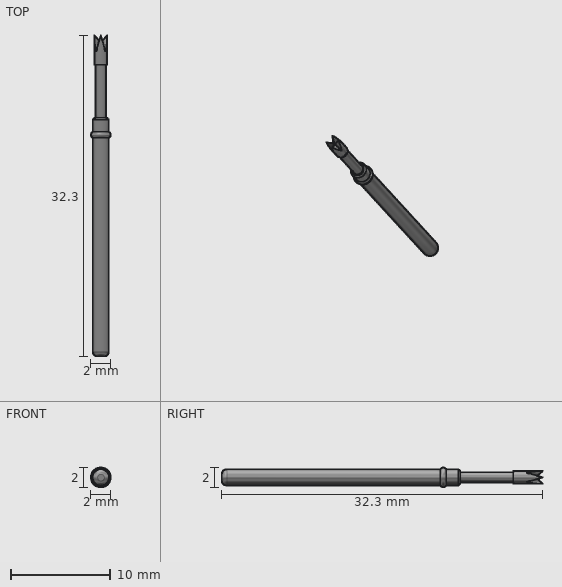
import cadquery as cq
import math

total_length = 32.3

barrel_diameter = 1.65
barrel_radius = barrel_diameter / 2
tail_fillet = 0.5
mouth_chamfer = 0.2
plunger_reach = 8.3
mouth_y = total_length - plunger_reach

ring_diameter = 2.0
ring_radius = ring_diameter / 2
ring_width = 0.58
ring_to_tips = 10.0
ring_y = total_length - ring_to_tips

plunger_diameter = 1.05
plunger_radius = plunger_diameter / 2
head_diameter = 1.3
head_radius = head_diameter / 2
head_length = 2.97
head_y = total_length - head_length

tip_count = 4
notch_depth_at_axis = 0.7
notch_depth_at_rim = 1.6


def turned_body():
    """Revolve the half outline of barrel, ring, plunger and head about the Y axis."""
    ring_start = ring_y - ring_width / 2
    ring_end = ring_y + ring_width / 2
    arc_middle = math.sqrt(0.5) * tail_fillet
    return (
        cq.Workplane("YZ")
        .moveTo(0, 0)
        .lineTo(0, barrel_radius - tail_fillet)
        .threePointArc(
            (tail_fillet - arc_middle, barrel_radius - tail_fillet + arc_middle),
            (tail_fillet, barrel_radius),
        )
        .lineTo(ring_start, barrel_radius)
        .threePointArc((ring_y, ring_radius), (ring_end, barrel_radius))
        .lineTo(mouth_y - mouth_chamfer, barrel_radius)
        .lineTo(mouth_y, barrel_radius - mouth_chamfer)
        .lineTo(mouth_y, plunger_radius)
        .lineTo(head_y, plunger_radius)
        .lineTo(head_y, head_radius)
        .lineTo(total_length, head_radius)
        .lineTo(total_length, 0)
        .close()
        .revolve(360, (0, 0, 0), (1, 0, 0))
    )


def crown_notch():
    """V-shaped cutter along +X; its flanks meet the neighbouring notches in the tip ridges."""
    half_pitch = math.pi / tip_count
    tip_along = head_radius * math.cos(half_pitch)
    tip_across = head_radius * math.sin(half_pitch)
    floor_slope = (notch_depth_at_rim - notch_depth_at_axis) / head_radius
    tilt = math.atan(floor_slope)

    flank_rise = (notch_depth_at_axis + floor_slope * tip_along) / tip_across
    cutter_height = 2 * head_length
    cutter_half_width = cutter_height / (flank_rise * math.cos(tilt))
    return (
        cq.Workplane("YZ")
        .polyline([(0, 0), (cutter_height, cutter_half_width), (cutter_height, -cutter_half_width)])
        .close()
        .extrude(head_length, both=True)
        .rotate((0, 0, 0), (0, 0, 1), -math.degrees(tilt))
        .translate((0, total_length - notch_depth_at_axis, 0))
    )


result = turned_body()
tip_pitch = 360 / tip_count
for index in range(tip_count):
    notch = crown_notch().rotate((0, 0, 0), (0, 1, 0), (index + 0.5) * tip_pitch)
    result = result.cut(notch)